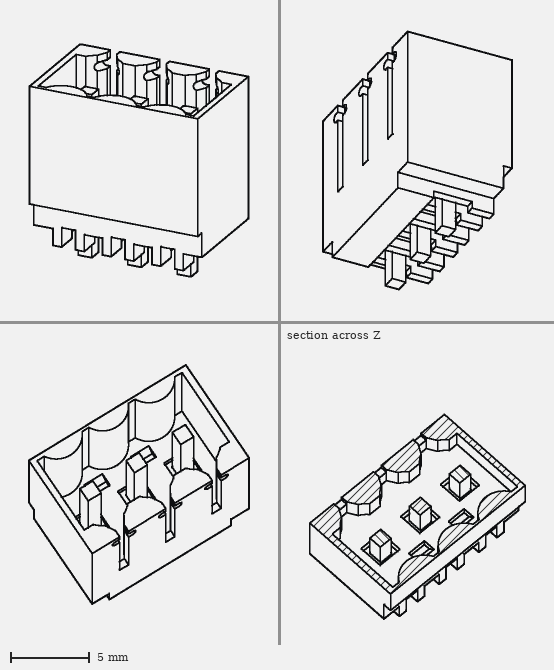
import cadquery as cq
import math


PIN_COUNT = 3
PITCH = 3.5
MIDDLE_X = 0.03
PIN_XS = [MIDDLE_X + (i - (PIN_COUNT - 1) / 2) * PITCH for i in range(PIN_COUNT)]
GAP_XS = [x + PITCH / 2 for x in PIN_XS[:-1]]
PIN_Y = 3.5

PIN_SIZE = 0.98
PIN_TOP = 11.35
PIN_FRONT_PLAY = 0.05

WIDTH = 11.9
DEPTH = 7.45
TOP = 12.55
BODY_BOTTOM = 2.67
STEP_TOP = 4.37
STEP_DEPTH = 0.6

FLOOR = 5.02
END_WALL = 0.46
FRONT_WALL = 0.3
THIN_FRONT_WALL = 0.2
BACK_WALL = 1.61
LOBE_RADIUS = 1.67
FRONT_RIB_REACH = 1.13
BACK_LOBE_DEPTH = 0.99

SLOT_WIDTH = 0.68
SLOT_BOTTOM = FLOOR + 1.0
SLOT_WALL = 0.49
FLARE_WIDTH = 1.45
FLARE_DEPTH = BACK_LOBE_DEPTH + LOBE_RADIUS - math.sqrt(LOBE_RADIUS**2 - (FLARE_WIDTH / 2) ** 2)
GROOVE_HEIGHT = 0.6
GROOVE_WIDTH = 1.76
GROOVE_FLAT_WIDTH = 1.28
GROOVE_BOTTOM = TOP - 1.12

SEAT_SIZE = 1.75
SEAT_DEPTH = 0.5
POCKET_WIDTH = 1.37
POCKET_BACK = 2.01
POCKET_MIDDLE = 1.55
POCKET_FRONT = 1.12
POCKET_DEPTH = POCKET_MIDDLE - POCKET_FRONT

FOOT_BOTTOM = 1.5
FOOT_PAIR_WIDTH = 2.22
PIN_GAP_TOP = 2.86
NOTCH_FRONT = 2.16
NOTCH_BACK = 4.88
NOTCH_TOP = 2.0


def block(x_mid, x_size, y_min, y_max, z_min, z_max):
    """Box centred on x_mid in X, between the given Y and Z limits."""
    return (
        cq.Workplane("XY", origin=(x_mid, (y_min + y_max) / 2, z_min))
        .box(x_size, y_max - y_min, z_max - z_min, centered=(True, True, False))
    )


def column(x, y, radius, z_min, z_max):
    """Upright cylinder."""
    return cq.Workplane("XY", origin=(x, y, z_min)).circle(radius).extrude(z_max - z_min)


def make_shell():
    """Outer block, cut back along the lower front."""
    shell = block(0, WIDTH, 0, DEPTH, BODY_BOTTOM, TOP)
    return shell.cut(block(0, WIDTH, 0, STEP_DEPTH, BODY_BOTTOM, STEP_TOP))


def make_feet():
    """Row of front feet and a full-length rear bar, with a notch under the pins between them."""
    outer_width = PIN_XS[-1] - PIN_XS[0] + FOOT_PAIR_WIDTH
    feet = block(MIDDLE_X, outer_width, STEP_DEPTH, DEPTH, FOOT_BOTTOM, BODY_BOTTOM)
    feet = feet.cut(block(MIDDLE_X, outer_width, NOTCH_FRONT, NOTCH_BACK, FOOT_BOTTOM, NOTCH_TOP))
    for x in GAP_XS:
        gap_width = PITCH - FOOT_PAIR_WIDTH
        feet = feet.cut(block(x, gap_width, STEP_DEPTH, NOTCH_BACK, FOOT_BOTTOM, BODY_BOTTOM))
    return feet


def make_cavity():
    """Open-topped cavity with round ribs along the front and round lobes along the back."""
    inner_width = WIDTH - 2 * END_WALL
    ribbed_width = PIN_XS[-1] - PIN_XS[0]
    back = DEPTH - BACK_WALL
    cavity = block(MIDDLE_X, inner_width, FRONT_WALL, back, FLOOR, TOP)
    cavity = cavity.union(block(MIDDLE_X, ribbed_width, THIN_FRONT_WALL, back, FLOOR, TOP))
    for x in PIN_XS:
        cavity = cavity.cut(column(x, FRONT_RIB_REACH - LOBE_RADIUS, LOBE_RADIUS, FLOOR, TOP))
    for x in PIN_XS:
        lobe_y = DEPTH - BACK_LOBE_DEPTH - LOBE_RADIUS
        cavity = cavity.union(column(x, lobe_y, LOBE_RADIUS, FLOOR, TOP))
        cavity = cavity.union(make_flare(x))
    return cavity


def make_flare(x):
    """Wedge that widens from a slot towards the cavity."""
    return (
        cq.Workplane("XY", origin=(x, DEPTH, FLOOR))
        .moveTo(-SLOT_WIDTH / 2, -SLOT_WALL)
        .lineTo(SLOT_WIDTH / 2, -SLOT_WALL)
        .lineTo(FLARE_WIDTH / 2, -FLARE_DEPTH)
        .lineTo(FLARE_WIDTH / 2, -BACK_WALL)
        .lineTo(-FLARE_WIDTH / 2, -BACK_WALL)
        .lineTo(-FLARE_WIDTH / 2, -FLARE_DEPTH)
        .close()
        .extrude(TOP - FLOOR)
    )


def make_back_slot(x):
    """Slot through the back wall, crossed near the top by a wider groove with curved ends."""
    slot = block(x, SLOT_WIDTH, DEPTH - BACK_WALL, DEPTH, SLOT_BOTTOM, TOP)
    half_flat = GROOVE_FLAT_WIDTH / 2
    half_width = GROOVE_WIDTH / 2
    half_height = GROOVE_HEIGHT / 2
    groove = (
        cq.Workplane("XZ", origin=(x, DEPTH, GROOVE_BOTTOM))
        .moveTo(-half_flat, 0)
        .lineTo(half_flat, 0)
        .threePointArc((half_width, half_height), (half_flat, GROOVE_HEIGHT))
        .lineTo(-half_flat, GROOVE_HEIGHT)
        .threePointArc((-half_width, half_height), (-half_flat, 0))
        .close()
        .extrude(BACK_WALL)
    )
    return slot.union(groove)


def make_floor_pocket(x):
    """Pocket in the floor with a sloping front wall."""
    return (
        cq.Workplane("YZ", origin=(x - POCKET_WIDTH / 2, 0, FLOOR))
        .moveTo(POCKET_FRONT, 0)
        .lineTo(POCKET_BACK, 0)
        .lineTo(POCKET_BACK, -POCKET_DEPTH)
        .lineTo(POCKET_MIDDLE, -POCKET_DEPTH)
        .close()
        .extrude(POCKET_WIDTH)
    )


def make_pin_opening(x):
    """Square seat in the floor, hole for the pin and gap between the feet."""
    half_seat = SEAT_SIZE / 2
    half_pin = PIN_SIZE / 2
    seat = block(x, SEAT_SIZE, PIN_Y - half_seat, PIN_Y + half_seat, FLOOR - SEAT_DEPTH, FLOOR)
    hole_front = PIN_Y - half_pin - PIN_FRONT_PLAY
    hole = block(x, PIN_SIZE, hole_front, PIN_Y + half_pin, FOOT_BOTTOM, FLOOR)
    gap = block(x, PIN_SIZE, STEP_DEPTH, NOTCH_BACK, FOOT_BOTTOM, PIN_GAP_TOP)
    return seat.union(hole).union(gap)


def make_housing():
    housing = make_shell().union(make_feet()).cut(make_cavity())
    for x in PIN_XS:
        housing = housing.cut(make_back_slot(x)).cut(make_pin_opening(x))
    for x in GAP_XS:
        housing = housing.cut(make_floor_pocket(x))
    return housing


def make_pin(x):
    """Straight square pin."""
    half_pin = PIN_SIZE / 2
    return block(x, PIN_SIZE, PIN_Y - half_pin, PIN_Y + half_pin, 0, PIN_TOP)


housing = make_housing()
pins = [make_pin(x) for x in PIN_XS]

result = cq.Compound.makeCompound([housing.val(), *[pin.val() for pin in pins]])